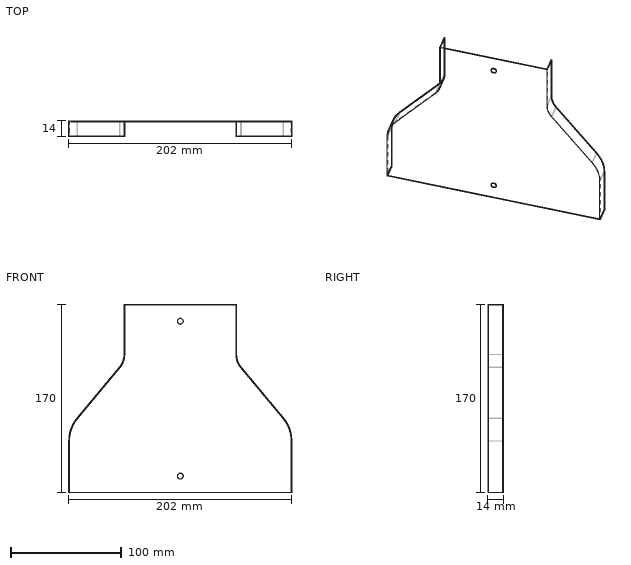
import cadquery as cq
import math

base_width = 202.0
neck_width = 102.0
height = 170.0
depth = 14.0
sheet_thickness = 0.75

taper_start = 58.5
taper_end = 118.5

shoulder_radius = 32.1
neck_radius = 18.0

hole_diameter = 5.0
hole_edge_distance = 15.0


def tapered_panel(inset, thickness):
    """Tapered panel, back on y = 0, with its sides moved inwards by the inset."""
    base_half = base_width / 2 - inset
    neck_half = neck_width / 2 - inset

    slope_angle = math.atan2((base_width - neck_width) / 2, taper_end - taper_start)
    corner_drop = inset * math.tan(slope_angle / 2)
    lower_corner = taper_start - corner_drop
    upper_corner = taper_end - corner_drop

    panel = (
        cq.Workplane("XZ")
        .polyline([
            (-base_half, 0),
            (base_half, 0),
            (base_half, lower_corner),
            (neck_half, upper_corner),
            (neck_half, height),
            (-neck_half, height),
            (-neck_half, upper_corner),
            (-base_half, lower_corner),
        ])
        .close()
        .extrude(thickness)
    )
    bends = (
        (base_half, lower_corner, shoulder_radius - inset),
        (neck_half, upper_corner, neck_radius + inset),
    )
    for half_width, corner_height, radius in bends:
        for side in (-1, 1):
            corner = (side * half_width, -thickness / 2, corner_height)
            panel = panel.edges(cq.NearestToPointSelector(corner)).fillet(radius)
    return panel


def fixing_holes():
    """Round cutters through the plate, near its lower and upper edges."""
    return (
        cq.Workplane("XZ")
        .pushPoints([(0, hole_edge_distance), (0, height - hole_edge_distance)])
        .circle(hole_diameter / 2)
        .extrude(depth)
    )


channel_space = tapered_panel(sheet_thickness, depth).translate((0, -sheet_thickness, 0))
result = tapered_panel(0, depth).cut(channel_space).cut(fixing_holes())